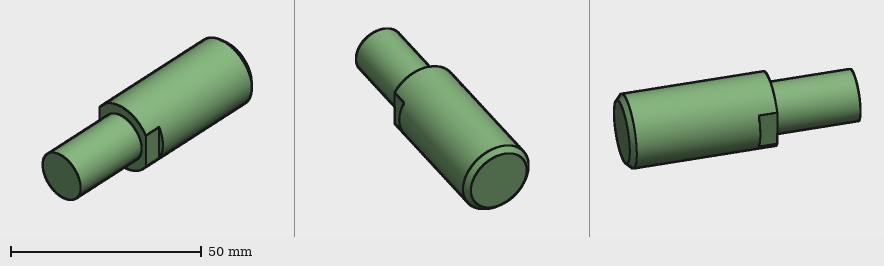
import cadquery as cq

total_length = 63.0
body_diameter = 20.0
pin_diameter = 14.0
pin_length = 23.0
body_length = total_length - pin_length

chamfer_size = 1.5

flat_width = 17.0
flat_length = 5.0


def cylinder_along_y(diameter, start, length):
    """Solid cylinder on the Y axis, growing from start towards +Y."""
    plane = cq.Plane(origin=(0, start, 0), xDir=(1, 0, 0), normal=(0, 1, 0))
    return cq.Workplane(plane).circle(diameter / 2).extrude(length)


def chamfered_body():
    body = cylinder_along_y(body_diameter, 0, body_length)
    return body.faces(">Y").chamfer(chamfer_size)


def flat_cutter(side):
    """Block that removes the body outside one flat; side is -1 or +1."""
    return cq.Workplane("XY").box(
        body_diameter, flat_length, body_diameter, centered=(True, False, True)
    ).translate((side * (flat_width + body_diameter) / 2, 0, 0))


result = chamfered_body()
for side in (-1, 1):
    result = result.cut(flat_cutter(side))
result = result.union(cylinder_along_y(pin_diameter, -pin_length, pin_length))